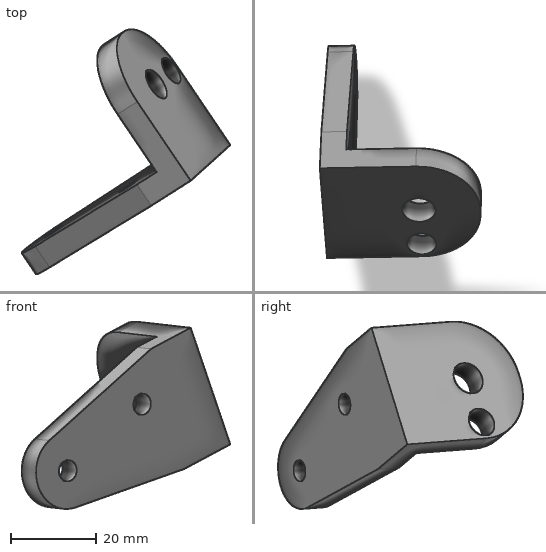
import cadquery as cq
import math

bend_length = 30.0
thickness = 6.0

flange_length = 36.85
flange_corner_radius = 14.4
flange_hole_y = 22.45
large_hole_z = 15.45
large_hole_diameter = 7.8
small_hole_diameter = 6.9
flange_hole_spacing = 11.3

upper_shoulder = 12.0
lower_shoulder = 14.1
arm_tip_x = -44.1
arm_tip_z = 13.2
arm_tip_radius = 9.0
arm_hole_diameter = 5.0
inner_hole_x = -19.2
inner_hole_z = 19.0

tilt_x = 4.0
tilt_y = -24.3
tilt_z = 32.4


def tip_point(angle):
    """Point (x, z) on the arm's round tip at an angle from +X toward +Z."""
    return (
        arm_tip_x + arm_tip_radius * math.cos(angle),
        arm_tip_z + arm_tip_radius * math.sin(angle),
    )


def tangent_angle(corner, side):
    """Angle where a line from the corner touches the tip; side is 1 above, -1 below."""
    dx = corner[0] - arm_tip_x
    dz = corner[1] - arm_tip_z
    return math.atan2(dz, dx) + side * math.acos(arm_tip_radius / math.hypot(dx, dz))


def make_arm():
    upper_corner = (-upper_shoulder, bend_length)
    lower_corner = (-lower_shoulder, 0)
    plane = cq.Workplane("XZ")
    plate = (
        plane.lineTo(0, bend_length)
        .lineTo(*upper_corner)
        .lineTo(*tip_point(tangent_angle(upper_corner, 1)))
        .threePointArc(tip_point(math.pi), tip_point(tangent_angle(lower_corner, -1)))
        .lineTo(*lower_corner)
        .close()
        .extrude(-thickness)
    )
    holes = (
        plane.pushPoints([(arm_tip_x, arm_tip_z), (inner_hole_x, inner_hole_z)])
        .circle(arm_hole_diameter / 2)
        .extrude(-thickness)
    )
    return plate.cut(holes)


def flange_hole(height, diameter):
    """Cylinder through the flange, centered at the given z."""
    return (
        cq.Workplane("YZ")
        .center(flange_hole_y, height)
        .circle(diameter / 2)
        .extrude(-thickness)
    )


def make_flange():
    plate = (
        cq.Workplane("YZ")
        .rect(flange_length, bend_length, centered=False)
        .extrude(-thickness)
        .edges("|X and >Y")
        .fillet(flange_corner_radius)
    )
    large_hole = flange_hole(large_hole_z, large_hole_diameter)
    small_hole = flange_hole(large_hole_z - flange_hole_spacing, small_hole_diameter)
    return plate.cut(large_hole).cut(small_hole)


result = (
    make_arm()
    .union(make_flange())
    .rotate((0, 0, 0), (1, 0, 0), tilt_x)
    .rotate((0, 0, 0), (0, 1, 0), tilt_y)
    .rotate((0, 0, 0), (0, 0, 1), tilt_z)
)